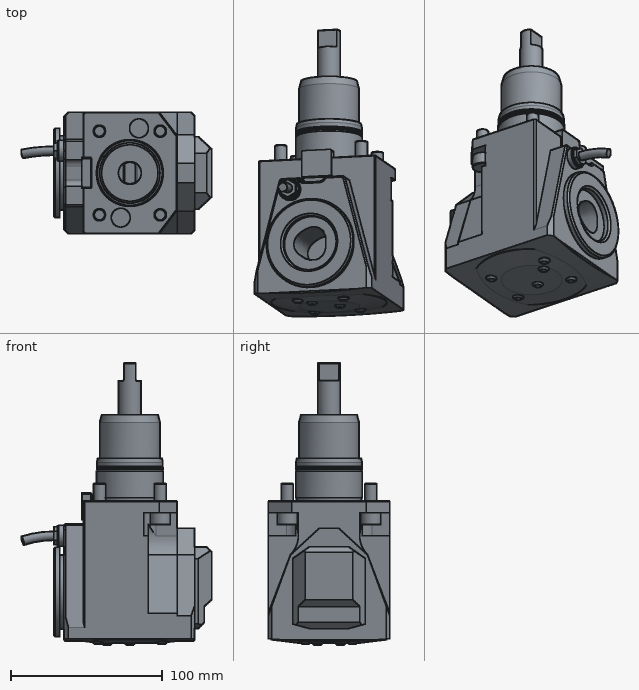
import cadquery as cq
import math

EMBED = 1.0

HALF_WIDTH = 40.0
BLOCK_LEFT = -30.7
BLOCK_RIGHT = 31.1
BLOCK_CHAMFER = 1.0
TOP_CHAMFER = 0.5
LEFT_FACE = -43.4
RIGHT_FACE = 42.7
BASE_EDGE_Z = -90.7
BASE_CROWN_Z = -92.3
BASE_LEFT_CHAMFER = 3.0
BASE_RIGHT_CHAMFER = 2.4
BASE_END_CHAMFER = 1.0
DOME_RADIUS = 38.0
DOME_RIM_Z = -91.4
DOME_TIP_RADIUS = 20.0
DOME_Z = -93.6

COVER_TOP_Z = -15.0
COVER_TOP_HALF = 22.0
COVER_FOOT_Z = -83.3
COVER_CHAMFER = 1.1
COVER_CORNER_CHAMFER = 1.2
NOTCH_FLOOR_Z = -18.0
NOTCH_FLOOR_HALF = 4.6
NOTCH_TOP_HALF = 8.8

ROOF_Z = -18.0
ROOF_HALF = 6.4
EAVE_Z = -35.5
EAVE_HALF = 25.3
RIGHT_FOOT_Z = -75.5

CAP_FACE = 54.0
CAP_TOP_Z = -30.3
CAP_BOTTOM_Z = -84.0
CAP_HALF = 24.0
CAP_TOP_HALF = 13.0
CAP_SHOULDER_DROP = 7.7
CAP_LOWER_SHOULDER_RISE = 3.0
CAP_FACE_HALF = 15.6
CAP_SIDE_X = 45.0
CAP_BEVEL = 3.5
CAP_STEP_X = 49.0
CAP_STEP_TOP_Z = -69.5
CAP_STEP_SLOPE_Z = -64.9
CAP_STEP_BOTTOM_Z = -80.0

TANG_TOP_Z = 90.8
TANG_WIDTH = 8.0
TANG_SHOULDER_Z = 78.9
TANG_FILLET = 1.0
TANG_CHAMFER = 0.5
SHAFT_DIA = 15.0
NOSE_DIA = 39.75
NOSE_TOP_Z = 56.8
NOSE_TAPER = 5.0
NOSE_TAPER_ANGLE = 15.0
NOSE_TAPER_INSET = NOSE_TAPER * math.tan(math.radians(NOSE_TAPER_ANGLE))
COLLAR_TOP_Z = 27.9
COLLAR_TAPER = 2.4
COLLAR_DIA = 43.6
COLLAR_TOP_DIA = 42.6
PILOT_DIA = 44.0
SEAL_DIA = 43.9
GROOVE_DIA = 43.0
COLLAR_BOTTOM_Z = 22.7
SEAL_TOP_Z = 21.9
SEAL_BOTTOM_Z = 20.8
PILOT_TOP_Z = 19.6
RELIEF_Z = 2.1

SCREW_X = 20.0
SCREW_Y = 27.5
SCREW_DIA = 8.0
SCREW_TOP_Z = 11.6
SCREW_CHAMFER = 0.6
HEAD_DIA = 13.3
HEAD_CHAMFER_DIA = 12.4
HEAD_HEIGHT = 8.0
HEAD_CHAMFER = 0.45
PLUG_DIA = 12.4
PLUG_X = 6.0
PLUG_Y = 29.4
PLUG_RECESS = 0.1

CORNER_X = 19.3
CORNER_Y = 24.4
POCKET_ROOF_Z = -7.8
POCKET_LEFT = 9.1
POCKET_SILL_Z = -23.0
POCKET_BACK_Y = 20.2
POCKET_CORNER_RADIUS = 8.0
SLOPE_LEFT = 12.1
SLOPE_FOOT_Z = -73.8

KEY_LEFT = -31.6
KEY_RIGHT = -25.1
KEY_HALF = 10.2
KEY_TOP_Z = 5.2
KEY_BOTTOM_Z = -12.3
KEY_CHAMFER = 0.7
KEY_SEAT_SIDE_Z = -13.6
KEY_SEAT_DEPTH = 3.5

TOOL_Z = -60.0
FLANGE_FACE = -50.2
FLANGE_BACK = -46.0
FLANGE_DIA = 59.0
FLANGE_CHAMFER = 1.2
HUB_DIA = 49.0
RECESS_DIA = 36.0
RECESS_CHAMFER = 1.4
RECESS_DEPTH = 4.5
POLYGON_RADIUS = 10.95
POLYGON_LOBE = 0.65
POLYGON_DEPTH = 35.0
POLYGON_POINTS = 24

GLAND_Y = 14.6
GLAND_Z = -23.0
GLAND_DIA = 14.0
GLAND_NECK_DIA = 13.0
GLAND_NECK_LENGTH = 0.8
GLAND_COLLAR_FACE = -46.8
GLAND_NUT_FACE = -50.0
GLAND_NUT_CORNERS = 12.0
CABLE_DIA = 6.0
CABLE_REACH = 20.48
CABLE_DROP = 3.8
CABLE_TWIST = 32.0

FOOT_DIA = 7.6
FOOT_TIP_DIA = 4.3
FOOT_HEIGHT = 1.5
OUTER_FEET_Z = -94.3
OUTER_FEET = [(-21.0, -15.5), (-21.0, 15.5), (21.0, -15.5), (21.0, 15.5)]
INNER_FEET_Z = -94.9
INNER_FEET = [(-15.0, 7.5), (0.0, -7.5)]


def box(x0, x1, y0, y1, z0, z1):
    """Box between two corners."""
    return cq.Workplane("XY").box(x1 - x0, y1 - y0, z1 - z0, centered=False).translate((x0, y0, z0))


def yz_plane(x):
    """Sketch plane facing +X at the given x, with local axes Y and Z."""
    return cq.Workplane("YZ", origin=(x, 0, 0))


def x_cylinder(x0, x1, diameter, y, z):
    """Cylinder along X."""
    return yz_plane(x0).center(y, z).circle(diameter / 2).extrude(x1 - x0)


def turned(profile):
    """Body turned about Z from (radius, z) points; the axis closes the outline."""
    points = [(0, profile[0][1])] + profile + [(0, profile[-1][1])]
    return cq.Workplane("XZ").polyline(points).close().revolve(360, (0, 0), (0, 1))


def both_sides(body):
    """The body together with its mirror image across the XZ plane."""
    return body.union(body.mirror("XZ"))


def block():
    """Main block with chamfered left edges and angled right corners at the top."""
    body = box(BLOCK_LEFT, BLOCK_RIGHT, -HALF_WIDTH, HALF_WIDTH, BASE_EDGE_Z, 0)
    body = body.edges("|Z and <X").chamfer(BLOCK_CHAMFER)
    corner = (
        cq.Workplane("XY", origin=(0, 0, POCKET_ROOF_Z))
        .polyline([
            (CORNER_X, -HALF_WIDTH),
            (BLOCK_RIGHT, -CORNER_Y),
            (BLOCK_RIGHT, -HALF_WIDTH),
        ])
        .close()
        .extrude(-POCKET_ROOF_Z)
    )
    body = body.cut(both_sides(corner))
    return body.faces(">Z").edges().chamfer(TOP_CHAMFER)


def base_envelope():
    """Full-length outline of the base with its corner chamfers and crowned underside."""
    body = (
        yz_plane(LEFT_FACE)
        .moveTo(-HALF_WIDTH, 0)
        .lineTo(-HALF_WIDTH, BASE_EDGE_Z)
        .threePointArc((0, BASE_CROWN_Z), (HALF_WIDTH, BASE_EDGE_Z))
        .lineTo(HALF_WIDTH, 0)
        .close()
        .extrude(RIGHT_FACE - LEFT_FACE)
    )
    body = body.edges("|Z and <X").chamfer(BASE_LEFT_CHAMFER)
    body = body.edges("|Z and >X").chamfer(BASE_RIGHT_CHAMFER)
    trim = (
        cq.Workplane("XZ", origin=(0, HALF_WIDTH, 0))
        .polyline([
            (LEFT_FACE, 0),
            (LEFT_FACE, BASE_CROWN_Z + BASE_END_CHAMFER),
            (LEFT_FACE + BASE_END_CHAMFER, BASE_CROWN_Z),
            (RIGHT_FACE - BASE_END_CHAMFER, BASE_CROWN_Z),
            (RIGHT_FACE, BASE_CROWN_Z + BASE_END_CHAMFER),
            (RIGHT_FACE, 0),
        ])
        .close()
        .extrude(2 * HALF_WIDTH)
    )
    return body.intersect(trim)


def notch_curve(sketch):
    """Draw the notch from its left rim through both fillets to its right rim."""
    rise = COVER_TOP_Z - NOTCH_FLOOR_Z
    run = NOTCH_TOP_HALF - NOTCH_FLOOR_HALF
    fillet_radius = (run ** 2 + rise ** 2) / (2 * rise)
    return (
        sketch
        .moveTo(-NOTCH_TOP_HALF, COVER_TOP_Z)
        .radiusArc((-NOTCH_FLOOR_HALF, NOTCH_FLOOR_Z), -fillet_radius)
        .lineTo(NOTCH_FLOOR_HALF, NOTCH_FLOOR_Z)
        .radiusArc((NOTCH_TOP_HALF, COVER_TOP_Z), -fillet_radius)
    )


def key_seat():
    """Slot in the left face of the block that joins the key and the notch."""
    seat = notch_curve(yz_plane(BLOCK_LEFT))
    seat = seat.lineTo(KEY_HALF, KEY_SEAT_SIDE_Z).lineTo(KEY_HALF, KEY_BOTTOM_Z)
    seat = seat.lineTo(-KEY_HALF, KEY_BOTTOM_Z).lineTo(-KEY_HALF, KEY_SEAT_SIDE_Z)
    return seat.close().extrude(KEY_SEAT_DEPTH)


def left_cover():
    """Trapezoidal cover with a rounded notch below the key."""
    below = BASE_CROWN_Z - 2 * COVER_CHAMFER
    below_half = HALF_WIDTH + 2 * COVER_CHAMFER
    outline = notch_curve(yz_plane(LEFT_FACE))
    outline = (
        outline
        .lineTo(COVER_TOP_HALF, COVER_TOP_Z)
        .lineTo(HALF_WIDTH, COVER_FOOT_Z)
        .lineTo(below_half, COVER_FOOT_Z)
        .lineTo(below_half, below)
        .lineTo(-below_half, below)
        .lineTo(-below_half, COVER_FOOT_Z)
        .lineTo(-HALF_WIDTH, COVER_FOOT_Z)
        .lineTo(-COVER_TOP_HALF, COVER_TOP_Z)
    )
    cover = outline.close().extrude(BLOCK_LEFT + EMBED - LEFT_FACE)
    for side in (-1, 1):
        near = (LEFT_FACE, side * (COVER_TOP_HALF - EMBED), COVER_TOP_Z - EMBED)
        far = (BLOCK_LEFT + EMBED, side * (COVER_TOP_HALF + EMBED), COVER_TOP_Z + EMBED)
        cover = cover.edges(cq.selectors.BoxSelector(near, far)).chamfer(COVER_CORNER_CHAMFER)
    return cover.faces("<X").edges().chamfer(COVER_CHAMFER)


def right_cover():
    """Cover with a flat ridge, two roof slopes and steep flanks."""
    flank = [(ROOF_HALF, ROOF_Z), (EAVE_HALF, EAVE_Z), (HALF_WIDTH, RIGHT_FOOT_Z), (HALF_WIDTH, DOME_Z)]
    mirrored = [(-y, z) for y, z in reversed(flank)]
    return yz_plane(BLOCK_RIGHT).polyline(flank + mirrored).close().extrude(RIGHT_FACE - BLOCK_RIGHT)


def base_middle():
    return box(BLOCK_LEFT, BLOCK_RIGHT, -HALF_WIDTH, HALF_WIDTH, DOME_Z, COVER_FOOT_Z)


def base_dome():
    return turned([(DOME_RADIUS, BASE_EDGE_Z), (DOME_RADIUS, DOME_RIM_Z), (DOME_TIP_RADIUS, DOME_Z)])


def end_cap():
    """Bevelled cap: the common part of a side, a plan and an end outline."""
    inner = RIGHT_FACE - EMBED
    side = [
        (inner, CAP_TOP_Z),
        (CAP_FACE - CAP_BEVEL, CAP_TOP_Z),
        (CAP_FACE, CAP_TOP_Z - CAP_BEVEL),
        (CAP_FACE, CAP_STEP_SLOPE_Z),
        (CAP_STEP_X, CAP_STEP_TOP_Z),
        (CAP_STEP_X, CAP_STEP_BOTTOM_Z),
        (CAP_SIDE_X, CAP_BOTTOM_Z),
        (inner, CAP_BOTTOM_Z),
    ]
    plan = [
        (inner, -CAP_HALF),
        (CAP_SIDE_X, -CAP_HALF),
        (CAP_FACE, -CAP_FACE_HALF),
        (CAP_FACE, CAP_FACE_HALF),
        (CAP_SIDE_X, CAP_HALF),
        (inner, CAP_HALF),
    ]
    shoulder_z = CAP_TOP_Z - CAP_SHOULDER_DROP
    lower_shoulder_z = CAP_BOTTOM_Z + CAP_LOWER_SHOULDER_RISE
    half_end = [
        (CAP_TOP_HALF, CAP_TOP_Z),
        (CAP_HALF, shoulder_z),
        (CAP_HALF, lower_shoulder_z),
        (CAP_TOP_HALF, CAP_BOTTOM_Z),
    ]
    end = half_end + [(-y, z) for y, z in reversed(half_end)]
    cap = cq.Workplane("XZ", origin=(0, CAP_HALF, 0)).polyline(side).close().extrude(2 * CAP_HALF)
    plan_body = cq.Workplane("XY", origin=(0, 0, CAP_BOTTOM_Z)).polyline(plan).close()
    cap = cap.intersect(plan_body.extrude(CAP_TOP_Z - CAP_BOTTOM_Z))
    return cap.intersect(yz_plane(inner).polyline(end).close().extrude(CAP_FACE - inner))


def screw_pockets():
    """Stepped pockets around the right screw heads, on both sides."""
    head_space = box(POCKET_LEFT, BLOCK_RIGHT, -HALF_WIDTH, -POCKET_BACK_Y, POCKET_SILL_Z, POCKET_ROOF_Z)
    head_space = head_space.edges("|Z and <X and >Y").fillet(POCKET_CORNER_RADIUS)

    hollow_radius = (POCKET_SILL_Z - EAVE_Z) / math.sin(math.radians(45))
    hollow_top_z = 2 * POCKET_SILL_Z - EAVE_Z
    hollow_rim_y = -POCKET_BACK_Y - hollow_radius * (1 - math.cos(math.radians(45)))
    slope = (
        yz_plane(SLOPE_LEFT)
        .moveTo(-HALF_WIDTH, SLOPE_FOOT_Z)
        .lineTo(hollow_rim_y, EAVE_Z)
        .threePointArc((-POCKET_BACK_Y, POCKET_SILL_Z), (hollow_rim_y, hollow_top_z))
        .lineTo(-HALF_WIDTH, POCKET_SILL_Z)
        .close()
        .extrude(BLOCK_RIGHT - SLOPE_LEFT)
    )
    return both_sides(head_space.union(slope))


def key():
    body = box(KEY_LEFT, KEY_RIGHT, -KEY_HALF, KEY_HALF, KEY_BOTTOM_Z, KEY_TOP_Z)
    body = body.edges("|X and >Z").chamfer(KEY_CHAMFER)
    return body.faces(">X").edges("not <Z").chamfer(KEY_CHAMFER)


def spindle():
    """Stepped round spindle ending in a two-flat tang."""
    nose = NOSE_DIA / 2
    profile = [
        (GROOVE_DIA / 2, -EMBED),
        (GROOVE_DIA / 2, RELIEF_Z),
        (PILOT_DIA / 2, RELIEF_Z),
        (PILOT_DIA / 2, PILOT_TOP_Z),
        (GROOVE_DIA / 2, PILOT_TOP_Z),
        (GROOVE_DIA / 2, SEAL_BOTTOM_Z),
        (SEAL_DIA / 2, SEAL_BOTTOM_Z),
        (SEAL_DIA / 2, SEAL_TOP_Z),
        (GROOVE_DIA / 2, SEAL_TOP_Z),
        (GROOVE_DIA / 2, COLLAR_BOTTOM_Z),
        (COLLAR_DIA / 2, COLLAR_BOTTOM_Z),
        (COLLAR_DIA / 2, COLLAR_TOP_Z - COLLAR_TAPER),
        (COLLAR_TOP_DIA / 2, COLLAR_TOP_Z),
        (nose, COLLAR_TOP_Z),
        (nose, NOSE_TOP_Z - NOSE_TAPER),
        (nose - NOSE_TAPER_INSET, NOSE_TOP_Z),
        (SHAFT_DIA / 2, NOSE_TOP_Z),
        (SHAFT_DIA / 2, TANG_TOP_Z - TANG_CHAMFER),
        (SHAFT_DIA / 2 - TANG_CHAMFER, TANG_TOP_Z),
    ]
    body = turned(profile)
    for side in (-1, 1):
        flat = box(TANG_WIDTH / 2, SHAFT_DIA, -SHAFT_DIA, SHAFT_DIA, TANG_SHOULDER_Z, TANG_TOP_Z + EMBED)
        flat = flat.edges("|Y and <X and <Z").fillet(TANG_FILLET)
        if side < 0:
            flat = flat.mirror("YZ")
        body = body.cut(flat)
    return body.faces(">Z").edges("|Y").chamfer(TANG_CHAMFER)


def screw_stud(x, y):
    radius = SCREW_DIA / 2
    stud = turned([
        (radius, POCKET_ROOF_Z - EMBED),
        (radius, SCREW_TOP_Z - SCREW_CHAMFER),
        (radius - SCREW_CHAMFER, SCREW_TOP_Z),
    ])
    return stud.translate((x, y, 0))


def screw_head(x, y):
    bottom = POCKET_ROOF_Z - HEAD_HEIGHT
    head = turned([
        (HEAD_CHAMFER_DIA / 2, bottom),
        (HEAD_DIA / 2, bottom + HEAD_CHAMFER),
        (HEAD_DIA / 2, POCKET_ROOF_Z),
    ])
    return head.translate((x, y, 0))


def plug_recesses():
    """Shallow round recesses in the mounting face."""
    points = [(PLUG_X, PLUG_Y), (-PLUG_X, -PLUG_Y)]
    return cq.Workplane("XY").pushPoints(points).circle(PLUG_DIA / 2).extrude(-PLUG_RECESS)


def foot(x, y, tip_z):
    """Conical screw head under the base."""
    shoulder_z = tip_z + FOOT_HEIGHT
    profile = [(FOOT_DIA / 2, shoulder_z + 2 * EMBED), (FOOT_DIA / 2, shoulder_z), (FOOT_TIP_DIA / 2, tip_z)]
    return turned(profile).translate((x, y, 0))


def tool_flange():
    """Chamfered disc on a smaller hub."""
    flange = x_cylinder(FLANGE_FACE, FLANGE_BACK, FLANGE_DIA, 0, TOOL_Z)
    flange = flange.faces("<X").edges().chamfer(FLANGE_CHAMFER)
    return flange.union(x_cylinder(FLANGE_BACK, LEFT_FACE + EMBED, HUB_DIA, 0, TOOL_Z))


def lobe_point(angle):
    """Point of the three-lobed bore outline, with one lobe toward +Y."""
    radius = POLYGON_RADIUS + POLYGON_LOBE * math.cos(3 * angle)
    return (radius * math.cos(angle), radius * math.sin(angle))


def tool_bore():
    """Chamfered round recess with a three-lobed blind bore behind it."""
    floor = FLANGE_FACE + RECESS_DEPTH
    recess = x_cylinder(FLANGE_FACE, floor, RECESS_DIA, 0, TOOL_Z)
    mouth = (
        yz_plane(FLANGE_FACE)
        .center(0, TOOL_Z)
        .circle(RECESS_DIA / 2 + RECESS_CHAMFER)
        .extrude(RECESS_CHAMFER, taper=45)
    )
    points = [lobe_point(2 * math.pi * i / POLYGON_POINTS) for i in range(POLYGON_POINTS)]
    bore = yz_plane(floor).center(0, TOOL_Z).spline(points, periodic=True).close().extrude(POLYGON_DEPTH)
    return recess.union(mouth).union(bore)


def cable_gland():
    """Round collar, neck and hexagon nut."""
    collar = x_cylinder(GLAND_COLLAR_FACE, LEFT_FACE + EMBED, GLAND_DIA, GLAND_Y, GLAND_Z)
    neck_start = GLAND_COLLAR_FACE - GLAND_NECK_LENGTH
    neck = x_cylinder(neck_start, GLAND_COLLAR_FACE, GLAND_NECK_DIA, GLAND_Y, GLAND_Z)
    nut = (
        yz_plane(GLAND_NUT_FACE)
        .transformed(rotate=(0, 0, 90), offset=(GLAND_Y, GLAND_Z, 0))
        .polygon(6, GLAND_NUT_CORNERS)
        .extrude(neck_start - GLAND_NUT_FACE)
    )
    return collar.union(neck).union(nut)


def cable():
    """Round cable leaving the gland along -X and bending down and toward -Y."""
    bend_radius = (CABLE_REACH ** 2 + CABLE_DROP ** 2) / (2 * CABLE_DROP)
    bend_angle = math.degrees(math.asin(CABLE_REACH / bend_radius))
    body = (
        cq.Workplane("YZ")
        .circle(CABLE_DIA / 2)
        .revolve(bend_angle, (0, -bend_radius, 0), (-1, -bend_radius, 0))
    )
    body = body.union(x_cylinder(0, EMBED, CABLE_DIA, 0, 0))
    body = body.rotate((0, 0, 0), (1, 0, 0), -CABLE_TWIST)
    return body.translate((GLAND_NUT_FACE, GLAND_Y, GLAND_Z))


housing = left_cover().union(right_cover()).union(base_middle()).intersect(base_envelope())
housing = housing.union(block().cut(screw_pockets()).cut(key_seat()))
housing = housing.union(base_dome()).cut(plug_recesses())
housing = housing.union(end_cap()).union(key())

result = housing.union(spindle())
for side_y in (-SCREW_Y, SCREW_Y):
    result = result.union(screw_stud(-SCREW_X, side_y))
    result = result.union(screw_stud(SCREW_X, side_y))
    result = result.union(screw_head(SCREW_X, side_y))
for foot_x, foot_y in OUTER_FEET:
    result = result.union(foot(foot_x, foot_y, OUTER_FEET_Z))
for foot_x, foot_y in INNER_FEET:
    result = result.union(foot(foot_x, foot_y, INNER_FEET_Z))
result = result.union(tool_flange()).cut(tool_bore())
result = result.union(cable_gland()).union(cable())